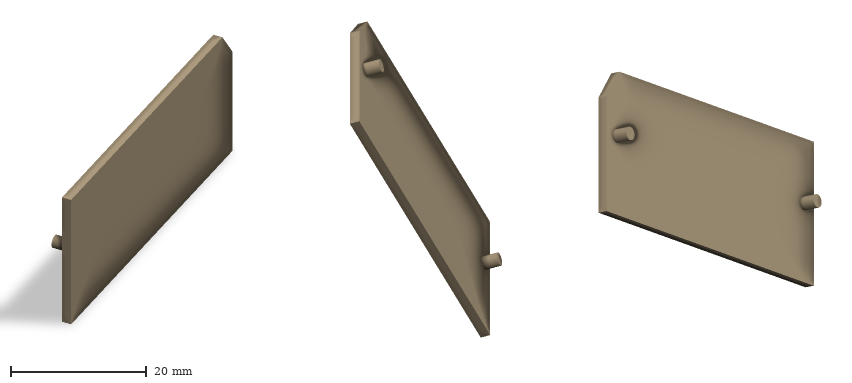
import cadquery as cq

plate_length = 52.0
plate_height = 22.0
overall_depth = 4.0
plate_thickness = 1.5
pin_length = overall_depth - plate_thickness
corner_cut_length = 3.2
corner_cut_height = 4.4
pin_diameter = 2.05
pin_end_distance = 2.5
pin_height = 12.0


def make_plate():
    """Upright plate with its upper +Y corner cut off at a slant."""
    outline = [
        (0, 0),
        (plate_length, 0),
        (plate_length, plate_height - corner_cut_height),
        (plate_length - corner_cut_length, plate_height),
        (0, plate_height),
    ]
    return cq.Workplane("YZ").polyline(outline).close().extrude(plate_thickness)


def make_pins():
    """Two round pins standing out from the -X face of the plate."""
    centres = [
        (pin_end_distance, pin_height),
        (plate_length - pin_end_distance, pin_height),
    ]
    return cq.Workplane("YZ").pushPoints(centres).circle(pin_diameter / 2).extrude(-pin_length)


result = make_plate().union(make_pins())